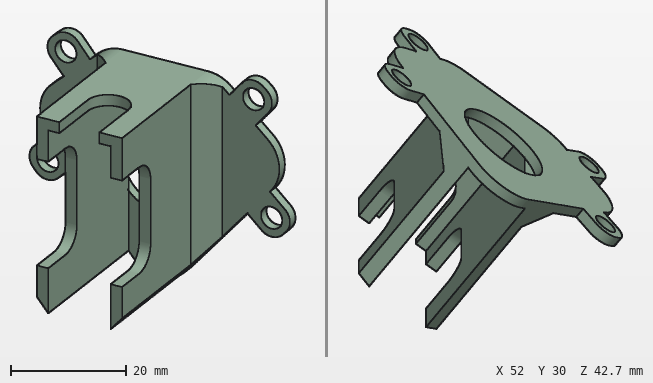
import cadquery as cq

plate_thickness = 2.0
corner_radius = 7.0
bottom_corner_z = -13.95
side_corner = (16.85, 5.7)
top_corner_z = 13.05
bore_diameter = 17.0

lug_hole_diameter = 4.2
lug_half_width = 3.5
lug_fillet = 3.0
lug_length = 10.4
upper_lug = (18.7, 18.0, 50.0)
lower_lug = (22.3, -4.05, -42.0)

total_depth = 30.0
housing_width = 17.0
wall_thickness = 2.3
roof_thickness = 2.15
web_size = 3.95

roof_slot_width = 8.0
roof_slot_depth = 14.0
side_notch_depth = 10.0
side_notch_top = 11.85
side_notch_bottom = -8.75
side_notch_radius = 4.0

cavity_width = housing_width - 2 * wall_thickness
roof_top = top_corner_z + corner_radius
cut_margin = 5.2


def rounded_profile(depth):
    """Rounded five-cornered plate shape, extruded forward from y = 0."""
    side_x, side_z = side_corner
    top_x = housing_width / 2
    corners = [
        (0, bottom_corner_z),
        (side_x, side_z),
        (top_x, top_corner_z),
        (-top_x, top_corner_z),
        (-side_x, side_z),
    ]
    return cq.Workplane("XZ").polyline(corners).close().offset2D(corner_radius).extrude(depth)


def lug(hole_x, hole_z, angle):
    """Rounded tab running inward from its hole into the plate."""
    length = lug_length + lug_half_width
    return (
        cq.Workplane("XZ")
        .center((lug_half_width - lug_length) / 2, 0)
        .rect(length, 2 * lug_half_width)
        .extrude(plate_thickness)
        .edges("|Y and >X")
        .fillet(lug_fillet)
        .rotate((0, 0, 0), (0, 1, 0), -angle)
        .translate((hole_x, 0, hole_z))
    )


def make_plate():
    plate = rounded_profile(plate_thickness)
    hole_centers = []
    for hole_x, hole_z, angle in (upper_lug, lower_lug):
        right_lug = lug(hole_x, hole_z, angle)
        plate = plate.union(right_lug).union(right_lug.mirror("YZ"))
        hole_centers += [(hole_x, hole_z), (-hole_x, hole_z)]
    lug_holes = (
        cq.Workplane("XZ").pushPoints(hole_centers).circle(lug_hole_diameter / 2).extrude(plate_thickness)
    )
    bore = cq.Workplane("XZ").circle(bore_diameter / 2).extrude(plate_thickness)
    return plate.cut(lug_holes).cut(bore)


def make_housing():
    """Side walls, roof and 45-degree webs, trimmed to the plate outline."""
    half_width = housing_width / 2
    web_x = half_width + web_size
    footprint = [
        (-web_x, -plate_thickness),
        (-half_width, -plate_thickness - web_size),
        (-half_width, -total_depth),
        (half_width, -total_depth),
        (half_width, -plate_thickness - web_size),
        (web_x, -plate_thickness),
    ]
    block_bottom = bottom_corner_z - corner_radius
    block = (
        cq.Workplane("XY", origin=(0, 0, block_bottom))
        .polyline(footprint)
        .close()
        .extrude(roof_top - block_bottom)
    )
    cavity_top = roof_top - roof_thickness
    cavity_bottom = block_bottom - cut_margin
    cavity = (
        cq.Workplane("XY", origin=(0, -plate_thickness, cavity_bottom))
        .rect(cavity_width, 2 * total_depth)
        .extrude(cavity_top - cavity_bottom)
    )
    return block.intersect(rounded_profile(total_depth)).cut(cavity)


def roof_slot():
    """Round-ended slot open at the front of the roof."""
    slot_length = roof_slot_depth + cut_margin
    return (
        cq.Workplane("XY", origin=(0, -total_depth + roof_slot_depth - slot_length / 2, roof_top))
        .slot2D(slot_length, roof_slot_width, 90)
        .extrude(-2 * roof_thickness)
    )


def side_notches():
    """Notch with rounded inner corners, open at the front of both side walls."""
    length = side_notch_depth + cut_margin
    return (
        cq.Workplane("XY")
        .box(housing_width + cut_margin, length, side_notch_top - side_notch_bottom)
        .edges("|X and >Y")
        .fillet(side_notch_radius)
        .translate((
            0,
            -total_depth + side_notch_depth - length / 2,
            (side_notch_top + side_notch_bottom) / 2,
        ))
    )


housing = make_housing().cut(roof_slot()).cut(side_notches())
result = make_plate().union(housing)